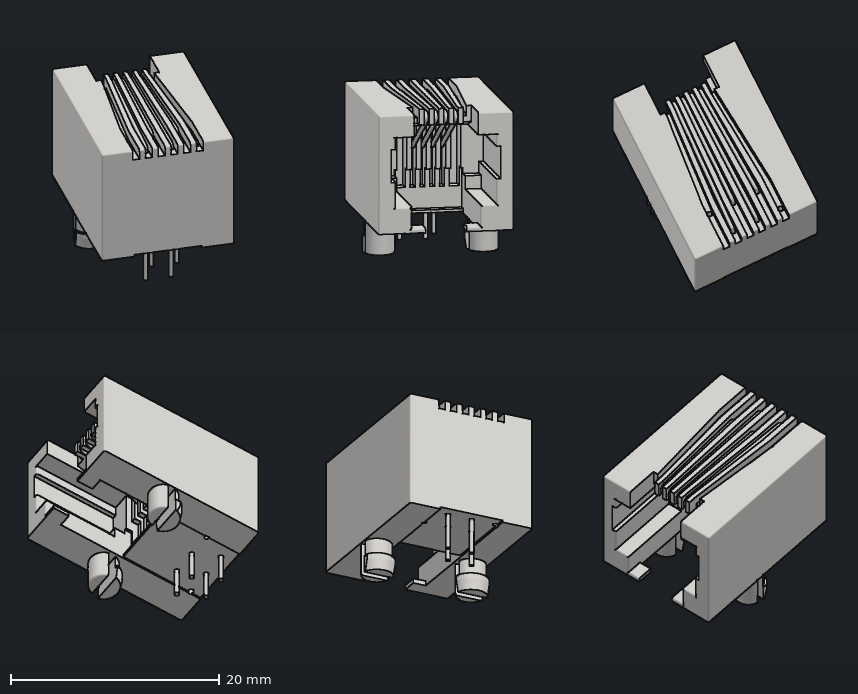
import cadquery as cq
import math

LENGTH = 18.0
WIDTH = 13.2
HEIGHT = 11.63
EDGE_RADIUS = 0.2

CAVITY_WIDTH = 9.83
CAVITY_FLOOR = 2.6
CAVITY_ROOF = 9.41
CAVITY_DEPTH = 9.18
SIDE_GROOVE_WIDTH = 10.7
SIDE_GROOVE_BOTTOM = 5.04
SIDE_GROOVE_TOP = 8.25
STOP_TOP = 3.89
STOP_FRONT = 8.0

KEYWAY_WIDTH = 6.7
KEYWAY_TOP = 4.45
KEYWAY_DEPTH = 9.9
LIP_LENGTH = 1.75
LIP_GAP = 4.03
LIP_THICKNESS = 0.49
FLOOR_OPENING_END = 9.0
STANDOFF = 0.2

NOTCH_WIDTH = 6.26
NOTCH_DEPTH = 3.53
COMB_FRONT = 2.52
COMB_BOTTOM = 10.06
RAMP_END = 5.58
CHANNEL_COUNT = 6
FRONT_PITCH = 0.95
REAR_SPAN = 6.35
REAR_PITCH = REAR_SPAN / (CHANNEL_COUNT - 1)
FRONT_CHANNEL_WIDTH = 0.47
REAR_CHANNEL_WIDTH = 0.67
COMB_WIDTH = (CHANNEL_COUNT - 1) * FRONT_PITCH - FRONT_CHANNEL_WIDTH
CHANNEL_FLOOR = 10.62
TAPER_START = NOTCH_DEPTH
TAPER_END_MINUS_Y = 13.41
TAPER_END_PLUS_Y = 13.97
SLOT_DEPTH = 11.16

CONTACT_CHANNELS = range(1, CHANNEL_COUNT - 1)
WIRE_DIAMETER = 0.45
HOLE_DIAMETER = 0.5
WIRE_DEPTH = 0.5
WIRE_Z = HEIGHT - WIRE_DEPTH
NEAR_ROW_X = 14.24
FAR_ROW_X = 16.78
BEND_RADIUS = 0.45
NOSE_START = 3.33
ARM_ANGLE = 28.0
ARM_END_Z = 6.59

POST_X = 7.88
POST_Y = 5.08
POST_DIAMETER = 3.0
POST_LENGTH = 3.33
POST_GAP = 0.8
BARB_RADIUS = 1.8
BARB_TIP_RADIUS = 1.62
BARB_TOP = -1.65
BARB_CONE_TOP = -2.18


def box(x0, x1, y0, y1, z0, z1):
    """Box between two X, two Y and two Z values."""
    return cq.Workplane("XY").box(x1 - x0, y1 - y0, z1 - z0, centered=False).translate((x0, y0, z0))


def centred_box(x0, x1, width, z0, z1):
    """Box that is symmetric about Y = 0."""
    return box(x0, x1, -width / 2, width / 2, z0, z1)


def channel_offset(index):
    """Signed channel number, counted from the middle of the row."""
    return index - (CHANNEL_COUNT - 1) / 2


def front_y(index):
    """Y of a channel at the comb."""
    return channel_offset(index) * FRONT_PITCH


def rear_y(index):
    """Y of a channel and its hole at the rear."""
    return channel_offset(index) * REAR_PITCH


def hole_x(index):
    """The holes alternate between a near and a far row."""
    return FAR_ROW_X if index % 2 else NEAR_ROW_X


def housing_shell():
    """Rounded block with the cavity and keyway, their front rims rounded."""
    shell = centred_box(0, LENGTH, WIDTH, 0, HEIGHT)
    shell = shell.edges("|Z or >Z").fillet(EDGE_RADIUS)
    shell = shell.cut(centred_box(0, CAVITY_DEPTH, CAVITY_WIDTH, CAVITY_FLOOR, CAVITY_ROOF))
    shell = shell.cut(centred_box(0, KEYWAY_DEPTH, KEYWAY_WIDTH, LIP_THICKNESS, KEYWAY_TOP))
    rim_half = CAVITY_WIDTH / 2 + EDGE_RADIUS
    rim = cq.selectors.BoxSelector(
        (-EDGE_RADIUS, -rim_half, LIP_THICKNESS / 2),
        (EDGE_RADIUS / 2, rim_half, CAVITY_ROOF - EDGE_RADIUS),
    )
    return shell.edges(rim).fillet(EDGE_RADIUS)


def side_grooves():
    return centred_box(0, CAVITY_DEPTH, SIDE_GROOVE_WIDTH, SIDE_GROOVE_BOTTOM, SIDE_GROOVE_TOP)


def plug_stops():
    """Blocks at the rear of the two cavity ledges, beside the keyway."""
    stops = centred_box(STOP_FRONT, CAVITY_DEPTH, CAVITY_WIDTH, CAVITY_FLOOR, STOP_TOP)
    return stops.cut(centred_box(STOP_FRONT, CAVITY_DEPTH, KEYWAY_WIDTH, CAVITY_FLOOR, STOP_TOP))


def floor_openings():
    """Gap between the front lips, opening behind them and raised underside at the rear."""
    gap = centred_box(0, LIP_LENGTH, LIP_GAP, 0, LIP_THICKNESS)
    opening = centred_box(LIP_LENGTH, FLOOR_OPENING_END, KEYWAY_WIDTH, 0, LIP_THICKNESS)
    underside = centred_box(FLOOR_OPENING_END, LENGTH, KEYWAY_WIDTH, 0, STANDOFF)
    return gap.union(opening).union(underside)


def roof_notch():
    """Notch in the front of the roof, leaving the comb, and the ramp below the comb."""
    notch = centred_box(0, NOTCH_DEPTH, NOTCH_WIDTH, CAVITY_ROOF, HEIGHT)
    notch = notch.cut(centred_box(COMB_FRONT, NOTCH_DEPTH, COMB_WIDTH, COMB_BOTTOM, HEIGHT))
    ramp = (
        cq.Workplane("XZ")
        .moveTo(NOTCH_DEPTH, CAVITY_ROOF)
        .lineTo(NOTCH_DEPTH, COMB_BOTTOM)
        .lineTo(RAMP_END, CAVITY_ROOF)
        .close()
        .extrude(NOTCH_WIDTH / 2, both=True)
    )
    return notch.union(ramp)


def channel(index):
    """Roof channel that widens and turns outwards towards the rear."""
    start_y = front_y(index)
    end_y = rear_y(index)
    start_half = FRONT_CHANNEL_WIDTH / 2
    end_half = REAR_CHANNEL_WIDTH / 2
    outline = [
        (COMB_FRONT, start_y - start_half),
        (TAPER_START, start_y - start_half),
        (TAPER_END_MINUS_Y, end_y - end_half),
        (LENGTH, end_y - end_half),
        (LENGTH, end_y + end_half),
        (TAPER_END_PLUS_Y, end_y + end_half),
        (TAPER_START, start_y + start_half),
        (COMB_FRONT, start_y + start_half),
    ]
    return (
        cq.Workplane("XY")
        .workplane(offset=CHANNEL_FLOOR)
        .polyline(outline)
        .close()
        .extrude(HEIGHT - CHANNEL_FLOOR)
    )


def contact_slot(index):
    """Upright slot through the comb and into the rear wall of the cavity."""
    half = FRONT_CHANNEL_WIDTH / 2
    y = front_y(index)
    return box(COMB_FRONT, SLOT_DEPTH, y - half, y + half, CAVITY_FLOOR, CHANNEL_FLOOR)


def wall_recesses():
    """Wide recesses in the rear wall, outside the outermost comb ribs."""
    recess = centred_box(CAVITY_DEPTH, SLOT_DEPTH, NOTCH_WIDTH, CAVITY_FLOOR, CAVITY_ROOF)
    return recess.cut(centred_box(CAVITY_DEPTH, SLOT_DEPTH, COMB_WIDTH, CAVITY_FLOOR, CAVITY_ROOF))


def contact_hole(index):
    return (
        cq.Workplane("XY")
        .center(hole_x(index), rear_y(index))
        .circle(HOLE_DIAMETER / 2)
        .extrude(HEIGHT)
    )


def post(side):
    """Split post: a plain front half and a barbed rear half, flush with the housing side."""
    y = side * POST_Y
    plain = (
        cq.Workplane("XY")
        .center(POST_X, y)
        .circle(POST_DIAMETER / 2)
        .extrude(-POST_LENGTH)
        .faces("<Z")
        .edges()
        .fillet(EDGE_RADIUS)
    )
    barbed = (
        cq.Workplane("XZ")
        .lineTo(POST_DIAMETER / 2, 0)
        .lineTo(POST_DIAMETER / 2, BARB_TOP)
        .lineTo(BARB_RADIUS, BARB_TOP)
        .lineTo(BARB_RADIUS, BARB_CONE_TOP)
        .lineTo(BARB_TIP_RADIUS, -POST_LENGTH)
        .lineTo(0, -POST_LENGTH)
        .close()
        .revolve(360, (0, 0, 0), (0, 1, 0))
        .translate((POST_X, y, 0))
    )
    front_half = centred_box(0, POST_X - POST_GAP / 2, WIDTH, -POST_LENGTH, 0)
    rear_half = centred_box(POST_X + POST_GAP / 2, LENGTH, WIDTH, -POST_LENGTH, 0)
    return plain.intersect(front_half).union(barbed.intersect(rear_half))


def make_housing():
    body = housing_shell().cut(side_grooves()).union(plug_stops())
    body = body.cut(floor_openings()).cut(roof_notch()).cut(wall_recesses())
    for index in range(CHANNEL_COUNT):
        body = body.cut(channel(index)).cut(contact_hole(index))
    for index in CONTACT_CHANNELS:
        body = body.cut(contact_slot(index))
    for side in (-1, 1):
        body = body.union(post(side))
    return body


def make_contact(index):
    """Round wire: a spring arm, a nose bend, a run along the channel and a pin."""
    arm = math.radians(ARM_ANGLE)
    y = front_y(index)
    pin_x = hole_x(index)
    pin_y = rear_y(index)
    nose_z = WIRE_Z - BEND_RADIUS
    arm_start = cq.Vector(
        NOSE_START - BEND_RADIUS * math.sin(arm), y, nose_z - BEND_RADIUS * math.cos(arm)
    )
    arm_length = (arm_start.z - ARM_END_Z) / math.sin(arm)
    arm_end = arm_start + cq.Vector(math.cos(arm), 0, -math.sin(arm)) * arm_length
    nose_tip = cq.Vector(NOSE_START - BEND_RADIUS, y, nose_z)
    nose_top = cq.Vector(NOSE_START, y, WIRE_Z)
    run_start = cq.Vector(TAPER_START, y, WIRE_Z)
    corner = cq.Vector(pin_x, pin_y, WIRE_Z)
    pin_top = cq.Vector(pin_x, pin_y, WIRE_Z - BEND_RADIUS)
    run_direction = (corner - run_start).normalized()
    bend_start = corner - run_direction * BEND_RADIUS
    bend_reach = math.sqrt(0.5) * BEND_RADIUS
    bend_middle = (
        pin_top
        - run_direction * (BEND_RADIUS - bend_reach)
        + cq.Vector(0, 0, bend_reach)
    )
    pin_end = cq.Vector(pin_x, pin_y, -POST_LENGTH)
    path = cq.Wire.assembleEdges(
        [
            cq.Edge.makeLine(arm_end, arm_start),
            cq.Edge.makeThreePointArc(arm_start, nose_tip, nose_top),
            cq.Edge.makeLine(nose_top, run_start),
            cq.Edge.makeLine(run_start, bend_start),
            cq.Edge.makeThreePointArc(bend_start, bend_middle, pin_top),
            cq.Edge.makeLine(pin_top, pin_end),
        ]
    )
    section = cq.Plane(origin=arm_end, xDir=(0, 1, 0), normal=arm_start - arm_end)
    return cq.Workplane(section).circle(WIRE_DIAMETER / 2).sweep(path, transition="round")


housing = make_housing()
contacts = [make_contact(index) for index in CONTACT_CHANNELS]
result = cq.Compound.makeCompound([housing.val(), *[contact.val() for contact in contacts]])